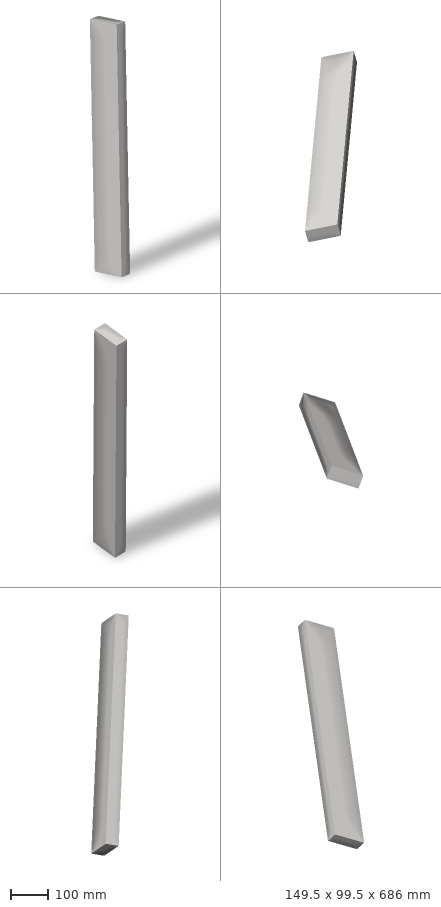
import cadquery as cq

length_x = 149.5
length_y = 99.5
height = 686.0
lean = 60.0
end_skew = 1.0

width = length_x - lean
thickness = length_y - lean - end_skew


def end_outline(plane_z, left_x, front_y):
    """Level parallelogram end with its lowest X and Y at the given place."""
    right_x = left_x + width
    corners = [
        (left_x, front_y + end_skew),
        (right_x, front_y),
        (right_x, front_y + thickness),
        (left_x, front_y + end_skew + thickness),
    ]
    return cq.Workplane("XY", origin=(0, 0, plane_z)).polyline(corners).close().wires().val()


bottom_end = end_outline(0, lean, 0)
top_end = end_outline(height, 0, lean)

result = cq.Workplane(cq.Solid.makeLoft([bottom_end, top_end], True))